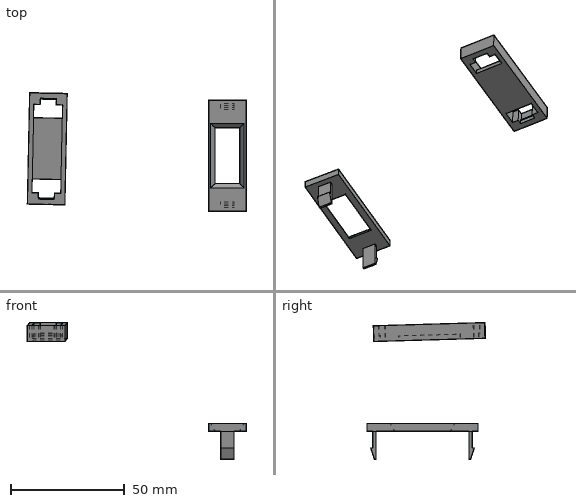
import cadquery as cq

body_width = 16.6
body_length = 48.9

plate_thickness = 3.5
window_top_width = 14.7
window_top_length = 28.4
window_slope_run = 2.0
leg_width = 6.0
leg_thickness = 1.6
leg_inset = 2.5
leg_length = 12.3
barb_drop = 7.2
barb_reach = 0.9
leg_tip_thickness = 0.8

housing_height = 7.0
side_wall = 2.0
end_block = 5.0
notch_width = 7.0
notch_end_wall = 2.3
ledge_reach = 0.45
ledge_height = 2.5
bridge_length = 27.0
bridge_thickness = 2.2

housing_centre = (-79.16, 3.03, 43.66)
housing_tilt_x = 1.65
housing_turn_z = -1.2


def box(width, length, height, bottom):
    """Box centred on the Z axis with its underside at the given height."""
    return cq.Workplane("XY").workplane(offset=bottom).rect(width, length).extrude(height)


def make_leg():
    """Snap leg at the -Y end of the cover, its barb pointing outwards."""
    outer_y = -body_length / 2 + leg_inset
    inner_y = outer_y + leg_thickness
    profile = [
        (inner_y, 0),
        (outer_y, 0),
        (outer_y, -barb_drop),
        (outer_y - barb_reach, -barb_drop),
        (inner_y - leg_tip_thickness, -leg_length),
        (inner_y, -leg_length),
    ]
    return cq.Workplane("YZ").polyline(profile).close().extrude(leg_width / 2, both=True)


def make_cover():
    """Cover plate with its window tapering in towards the underside, plus both legs."""
    plate = box(body_width, body_length, plate_thickness, 0)
    window = (
        cq.Workplane("XY")
        .rect(window_top_width - 2 * window_slope_run, window_top_length - 2 * window_slope_run)
        .workplane(offset=plate_thickness)
        .rect(window_top_width, window_top_length)
        .loft()
    )
    leg = make_leg()
    return plate.cut(window).union(leg).union(leg.mirror("XZ"))


def make_housing():
    """Housing centred on the origin, then moved to its tilted pose."""
    bottom = -housing_height / 2
    inner_width = body_width - 2 * side_wall
    notch_length = body_length - 2 * notch_end_wall

    frame = box(body_width, body_length, housing_height, bottom)
    cavity = box(inner_width, body_length - 2 * end_block, housing_height, bottom)
    upper_notches = box(notch_width, notch_length, housing_height - ledge_height, bottom + ledge_height)
    lower_notches = box(notch_width, notch_length - 2 * ledge_reach, ledge_height, bottom)
    bridge = box(inner_width, bridge_length, bridge_thickness, bottom)

    upright = frame.cut(cavity).cut(upper_notches).cut(lower_notches).union(bridge)
    tilted = upright.rotate((0, 0, 0), (1, 0, 0), housing_tilt_x)
    turned = tilted.rotate((0, 0, 0), (0, 0, 1), housing_turn_z)
    return turned.translate(housing_centre)


cover = make_cover()
housing = make_housing()

result = cq.Compound.makeCompound([housing.val(), cover.val()])